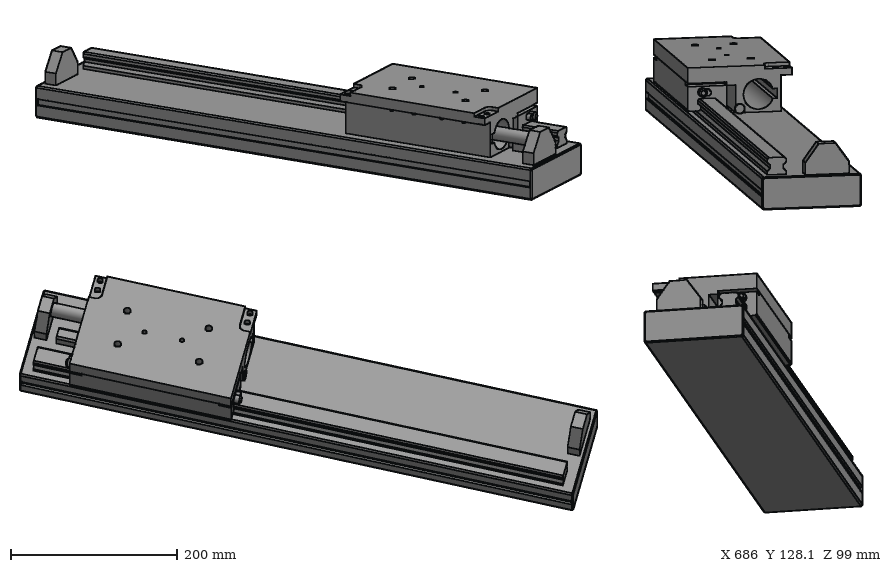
import cadquery as cq


base_length = 686.0
base_width = 122.0
base_height = 40.0
base_edge_chamfer = 2.0
base_end_chamfer = 1.5
slot_width = 8.0
slot_depth = 3.0
slot_end_wall = 2.5
slot_center_z = base_height / 2

rail_length = 656.0
rail_width = 23.0
rail_height = 21.0
rail_waist_width = 16.5
rail_center_y = 40.0
rail_foot_height = 4.0
rail_waist_bottom = 8.0
rail_waist_top = 12.0
rail_head_bottom = 15.0
rail_top_chamfer = 2.0

table_length = 200.0
table_width = 128.1
table_top_z = 99.0
table_start_x = 80.0
table_end_x = table_start_x + table_length
table_center_x = table_start_x + table_length / 2
overhang_bottom_z = 86.0
ledge_bottom_z = 76.0
carriage_seat_z = 80.0
housing_front_y = -50.6
housing_back_y = 5.2
housing_bottom_z = 42.0
motor_y = -22.9
motor_z = 64.0
bore_diameter = 37.0
bore_notch_height = 12.0
bore_notch_end_y = -45.8

mount_hole_diameter = 8.08
mount_hole_depth = 13.0
mount_pitch_x = 101.0
mount_pitch_y = 47.5
dowel_hole_diameter = 5.02
dowel_hole_depth = 10.0
dowel_pitch = 46.5

corner_pocket_length = 14.5
corner_pocket_width = 33.0
corner_pocket_depth = 4.5
corner_pocket_radius = 7.0
corner_hole_diameter = 6.65
corner_hole_offsets = (5.2, 18.6)

side_hole_diameter = 4.92
side_hole_depth = 10.0
side_hole_z = 81.8
side_hole_pair_pitch = 30.5
side_hole_pair_centers = (159.0, 228.0)

cable_diameter = 12.0
cable_z = 47.0
cable_y = 0.3
cable_stub_length = 2.0
gland_gap = 6.5
gland_length = 24.0
gland_width = 16.0
gland_height = 13.5
gland_chamfer = 2.5

carriage_width = 48.0
carriage_bottom_z = 46.0
carriage_cap_length = 15.0
carriage_cap_top_z = ledge_bottom_z
carriage_cap_chamfer = 1.5
nipple_z = 69.0
nipple_stem_diameter = 8.0
nipple_stem_length = 6.0
nipple_stem_y = 40.5
nipple_head_diameter = 10.0
nipple_head_length = 8.5
nipple_head_y = 46.5
nipple_head_chamfer = 2.0

bracket_thickness = 14.8
bracket_width = 53.5
bracket_top_width = 21.0
bracket_height = 37.5
bracket_shoulder_height = 15.0
bracket_center_y = -20.0
left_bracket_x = -337.5
right_bracket_x = 323.0
rod_diameter = 17.0
rod_start_x = table_center_x


def block(x_range, y_range, z_range):
    """Box between the given limits."""
    size = [high - low for low, high in (x_range, y_range, z_range)]
    corner = (x_range[0], y_range[0], z_range[0])
    return cq.Workplane("XY").box(*size, centered=False).translate(corner)


def rod_along_x(diameter, x_start, x_end, y, z):
    """Cylinder parallel to X."""
    return (
        cq.Workplane("YZ", origin=(x_start, y, z))
        .circle(diameter / 2)
        .extrude(x_end - x_start)
    )


def make_base():
    base = (
        cq.Workplane("XY")
        .box(base_length, base_width, base_height, centered=(True, True, False))
        .edges("|X")
        .chamfer(base_edge_chamfer)
        .faces("<X or >X")
        .chamfer(base_end_chamfer)
    )
    for side in (-1, 1):
        slot = cq.Workplane("XY").box(base_length - 2 * slot_end_wall, 2 * slot_depth, slot_width)
        base = base.cut(slot.translate((0, side * base_width / 2, slot_center_z)))
    return base


def make_rail():
    half_width = rail_width / 2
    half_waist = rail_waist_width / 2
    half_profile = [
        (half_width, 0),
        (half_width, rail_foot_height),
        (half_waist, rail_waist_bottom),
        (half_waist, rail_waist_top),
        (half_width, rail_head_bottom),
        (half_width, rail_height - rail_top_chamfer),
        (half_width - rail_top_chamfer, rail_height),
    ]
    mirrored = [(-y, z) for y, z in reversed(half_profile)]
    return (
        cq.Workplane("YZ", origin=(-rail_length / 2, rail_center_y, base_height))
        .polyline(half_profile + mirrored)
        .close()
        .extrude(rail_length)
    )


def make_nipple(x_face, direction):
    """Grease nipple standing out of a carriage end face."""
    stem = rod_along_x(
        nipple_stem_diameter, x_face, x_face + direction * nipple_stem_length, nipple_stem_y, nipple_z
    )
    head = rod_along_x(
        nipple_head_diameter, x_face, x_face + direction * nipple_head_length, nipple_head_y, nipple_z
    )
    outer_end = ">X" if direction > 0 else "<X"
    return stem.union(head.faces(outer_end).chamfer(nipple_head_chamfer))


def make_carriage(rail):
    y_range = (rail_center_y - carriage_width / 2, rail_center_y + carriage_width / 2)
    end_caps = (
        block((table_start_x, table_end_x), y_range, (carriage_bottom_z, carriage_cap_top_z))
        .edges("|X and <Z")
        .chamfer(carriage_cap_chamfer)
    )
    steel_body = block(
        (table_start_x + carriage_cap_length, table_end_x - carriage_cap_length),
        y_range,
        (carriage_cap_top_z, carriage_seat_z),
    )
    carriage = end_caps.union(steel_body).cut(rail)
    return carriage.union(make_nipple(table_start_x, -1)).union(make_nipple(table_end_x, 1))


def make_table_body():
    """Plate and motor housing as one extruded outline, with a bore along X notched on its front side."""
    half_width = table_width / 2
    carriage_side_y = rail_center_y - carriage_width / 2
    outline = [
        (-half_width, table_top_z),
        (half_width, table_top_z),
        (half_width, carriage_seat_z),
        (carriage_side_y, carriage_seat_z),
        (carriage_side_y, ledge_bottom_z),
        (housing_back_y, ledge_bottom_z),
        (housing_back_y, housing_bottom_z),
        (housing_front_y, housing_bottom_z),
        (housing_front_y, overhang_bottom_z),
        (-half_width, overhang_bottom_z),
    ]
    body = (
        cq.Workplane("YZ", origin=(table_start_x, 0, 0))
        .polyline(outline)
        .close()
        .extrude(table_length)
    )
    bore = rod_along_x(bore_diameter, table_start_x, table_end_x, motor_y, motor_z)
    notch = block(
        (table_start_x, table_end_x),
        (bore_notch_end_y, motor_y),
        (motor_z - bore_notch_height / 2, motor_z + bore_notch_height / 2),
    )
    return body.cut(bore).cut(notch)


def cut_top_holes(table):
    top = cq.Workplane("XY", origin=(table_center_x, 0, table_top_z))
    mount_holes = (
        top.rarray(mount_pitch_x, mount_pitch_y, 2, 2)
        .circle(mount_hole_diameter / 2)
        .extrude(-mount_hole_depth)
    )
    dowel_holes = (
        top.rarray(dowel_pitch, 1, 2, 1)
        .circle(dowel_hole_diameter / 2)
        .extrude(-dowel_hole_depth)
    )
    return table.cut(mount_holes).cut(dowel_holes)


def cut_corner_pockets(table):
    """Rounded pockets at the two front corners, each with two holes through the overhang."""
    front_y = -table_width / 2
    for end in (-1, 1):
        x_end = table_center_x + end * table_length / 2
        x_inner = x_end - end * corner_pocket_length
        pocket = block(
            (min(x_end, x_inner), max(x_end, x_inner)),
            (front_y, front_y + corner_pocket_width),
            (table_top_z - corner_pocket_depth, table_top_z),
        )
        inner_corner = "|Z and >Y and " + ("<X" if end > 0 else ">X")
        table = table.cut(pocket.edges(inner_corner).fillet(corner_pocket_radius))
        x_hole = (x_end + x_inner) / 2
        holes = (
            cq.Workplane("XY", origin=(x_hole, front_y, overhang_bottom_z))
            .pushPoints([(0, offset) for offset in corner_hole_offsets])
            .circle(corner_hole_diameter / 2)
            .extrude(table_top_z - overhang_bottom_z)
        )
        table = table.cut(holes)
    return table


def cut_side_holes(table):
    half_pitch = side_hole_pair_pitch / 2
    for pair_center in side_hole_pair_centers:
        for x in (pair_center - half_pitch, pair_center + half_pitch):
            hole = (
                cq.Workplane("XZ", origin=(x, housing_front_y, side_hole_z))
                .circle(side_hole_diameter / 2)
                .extrude(-side_hole_depth)
            )
            table = table.cut(hole)
    return table


def make_cable_fittings():
    """Cable stub on the left end of the housing, cable and gland on the right end."""
    gland_start_x = table_end_x + gland_gap
    stub = rod_along_x(
        cable_diameter, table_start_x - cable_stub_length, table_start_x, cable_y, cable_z
    )
    cable = rod_along_x(cable_diameter, table_end_x, gland_start_x, cable_y, cable_z)
    gland = (
        cq.Workplane("XY")
        .box(gland_length, gland_width, gland_height)
        .edges("|X and >Z")
        .chamfer(gland_chamfer)
        .translate((gland_start_x + gland_length / 2, cable_y, cable_z))
    )
    return stub, cable.union(gland)


def make_table():
    table = make_table_body()
    table = cut_top_holes(table)
    table = cut_corner_pockets(table)
    table = cut_side_holes(table)
    for fitting in make_cable_fittings():
        table = table.union(fitting)
    return table


def make_bracket(x_start):
    half_width = bracket_width / 2
    half_top = bracket_top_width / 2
    return (
        cq.Workplane("YZ", origin=(x_start, bracket_center_y, base_height))
        .polyline(
            [
                (-half_width, 0),
                (half_width, 0),
                (half_width, bracket_shoulder_height),
                (half_top, bracket_height),
                (-half_top, bracket_height),
                (-half_width, bracket_shoulder_height),
            ]
        )
        .close()
        .extrude(bracket_thickness)
    )


base = make_base()
rail = make_rail()
carriage = make_carriage(rail)
table = make_table()
left_bracket = make_bracket(left_bracket_x)
rod = rod_along_x(rod_diameter, rod_start_x, right_bracket_x, motor_y, motor_z)
rod_bracket = make_bracket(right_bracket_x).union(rod)

result = cq.Compound.makeCompound(
    [
        base.val(),
        rail.val(),
        carriage.val(),
        table.val(),
        left_bracket.val(),
        rod_bracket.val(),
    ]
)